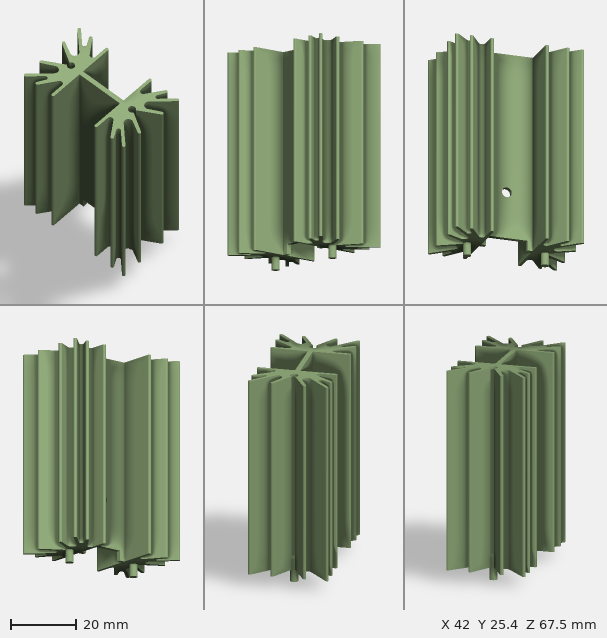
import cadquery as cq
import math

pin_projection = 4.0
sink_height = 67.45 - pin_projection
half_width = 21.0
half_depth = 12.715

web_thickness = 1.6
web_hole_diameter = 3.2
web_hole_height = 18.2
notch_width = 13.5
notch_height = 3.2

pin_diameter = 2.5
pin_length = 7.9
pin_offset = 12.7
slit_width = 1.1

tip_radius = 0.55
plate_fin_face = 8.4
tip_y = half_depth - tip_radius
outer_tip_x = half_width - tip_radius
slit_half = slit_width / 2
slit_x = pin_offset + math.sqrt((pin_diameter / 2) ** 2 - slit_half ** 2)

fin_rounds = [
    (plate_fin_face + tip_radius, tip_y, tip_radius),
    (10.5, 7.55, 1.0),
    (15.65, tip_y, tip_radius),
    (15.25, 8.9, 0.71),
    (outer_tip_x, tip_y, tip_radius),
    (15.45, 4.65, 1.45),
    (outer_tip_x, 5.05, tip_radius),
    (slit_x, slit_half, 0),
]


def point_on(center_x, center_y, radius, angle):
    return (center_x + radius * math.cos(angle), center_y + radius * math.sin(angle))


def flank_angle(start, end, start_is_tip):
    """Direction from the start center to where the crossing tangent leaves it."""
    dx = end[0] - start[0]
    dy = end[1] - start[1]
    swing = math.acos((start[2] + end[2]) / math.hypot(dx, dy))
    return math.atan2(dy, dx) + (swing if start_is_tip else -swing)


def make_quadrant():
    """Finned profile for +X, +Y, with straight flanks tangent to the rounds."""
    profile = (
        cq.Workplane("XY")
        .lineTo(0, web_thickness / 2)
        .lineTo(plate_fin_face, web_thickness / 2)
        .lineTo(plate_fin_face, tip_y)
    )
    arrival = math.pi
    for index, (start, end) in enumerate(zip(fin_rounds, fin_rounds[1:])):
        is_tip = index % 2 == 0
        departure = flank_angle(start, end, is_tip)
        turn = (departure - arrival) % (2 * math.pi)
        if is_tip:
            turn -= 2 * math.pi
        profile = profile.threePointArc(
            point_on(*start, arrival + turn / 2), point_on(*start, departure)
        )
        arrival = departure + math.pi
        profile = profile.lineTo(*point_on(*end, arrival))
    return profile.lineTo(pin_offset, 0).close().extrude(sink_height)


def make_heat_sink():
    quadrant = make_quadrant()
    half = quadrant.union(quadrant.mirror("XZ"))
    sink = half.union(half.mirror("YZ"))

    pin_holes = (
        cq.Workplane("XY")
        .pushPoints([(-pin_offset, 0), (pin_offset, 0)])
        .circle(pin_diameter / 2)
        .extrude(sink_height)
    )
    web_hole = (
        cq.Workplane("XZ")
        .center(0, web_hole_height)
        .circle(web_hole_diameter / 2)
        .extrude(web_thickness, both=True)
    )
    notch = cq.Workplane("XY").box(
        notch_width, web_thickness, notch_height, centered=(True, True, False)
    )
    return sink.cut(pin_holes).cut(web_hole).cut(notch)


def make_pin(x):
    return (
        cq.Workplane("XY", origin=(x, 0, -pin_projection))
        .circle(pin_diameter / 2)
        .extrude(pin_length)
    )


heat_sink = make_heat_sink()
pins = [make_pin(side * pin_offset) for side in (-1, 1)]

result = cq.Compound.makeCompound([heat_sink.solids().val(), *[pin.val() for pin in pins]])